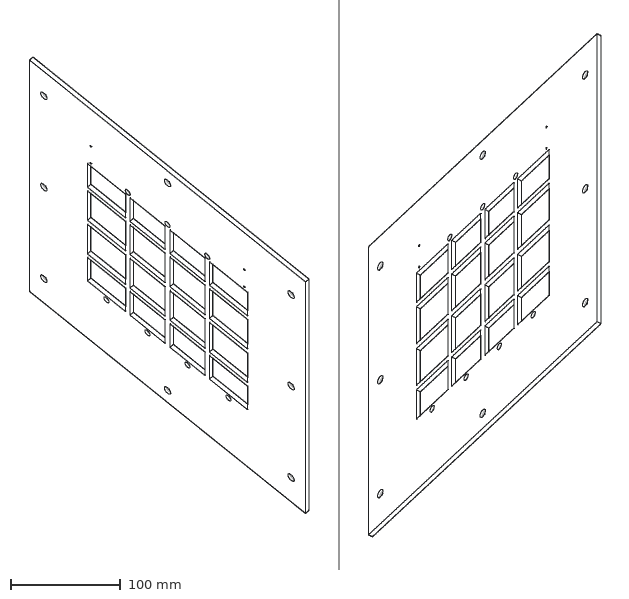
import cadquery as cq

plate_side = 355.5
plate_thickness = 4.5

center_bar = 6.5
outer_bar = 5.7
inner_window = 45.0
outer_window_width = 49.0
outer_window_height = 36.0

border_hole_diameter = 8.2
border_hole_offset = 159.3
side_hole_height = 140.5

grid_hole_diameter = 6.5
grid_hole_height = 95.5

pin_hole_diameter = 1.6
pin_hole_offset = 99.0
pin_hole_heights = (94.5, 121.0)

inner_middle = (center_bar + inner_window) / 2
inner_edge = center_bar / 2 + inner_window
outer_bar_middle = inner_edge + outer_bar / 2
outer_start = inner_edge + outer_bar
outer_column_middle = outer_start + outer_window_width / 2
outer_row_middle = outer_start + outer_window_height / 2


def mirrored(middle):
    return (-middle, middle)


def front_plane():
    return cq.Workplane("XZ")


def hole_cutter(points, diameter):
    """Cylinders through the plate at the given (x, z) points."""
    cylinders = front_plane().pushPoints(points).circle(diameter / 2)
    return cylinders.extrude(plate_thickness, both=True)


def window_cutter(points, width, height):
    """Blocks through the plate at the given (x, z) points."""
    blocks = front_plane().pushPoints(points).rect(width, height)
    return blocks.extrude(plate_thickness, both=True)


result = cq.Workplane("XY").box(plate_side, plate_thickness, plate_side)

columns = ((inner_middle, inner_window), (outer_column_middle, outer_window_width))
rows = ((inner_middle, inner_window), (outer_row_middle, outer_window_height))
for column_middle, width in columns:
    for row_middle, height in rows:
        centers = [(x, z) for x in mirrored(column_middle) for z in mirrored(row_middle)]
        result = result.cut(window_cutter(centers, width, height))

border_points = [(0, z) for z in mirrored(border_hole_offset)]
for x in mirrored(border_hole_offset):
    border_points += [(x, z) for z in (-side_hole_height, 0, side_hole_height)]
result = result.cut(hole_cutter(border_points, border_hole_diameter))

grid_points = [(x, grid_hole_height) for x in (-outer_bar_middle, 0, outer_bar_middle)]
for column_middle in (inner_middle, outer_column_middle):
    grid_points += [(x, -grid_hole_height) for x in mirrored(column_middle)]
result = result.cut(hole_cutter(grid_points, grid_hole_diameter))

pin_points = [(x, z) for x in mirrored(pin_hole_offset) for z in pin_hole_heights]
result = result.cut(hole_cutter(pin_points, pin_hole_diameter))